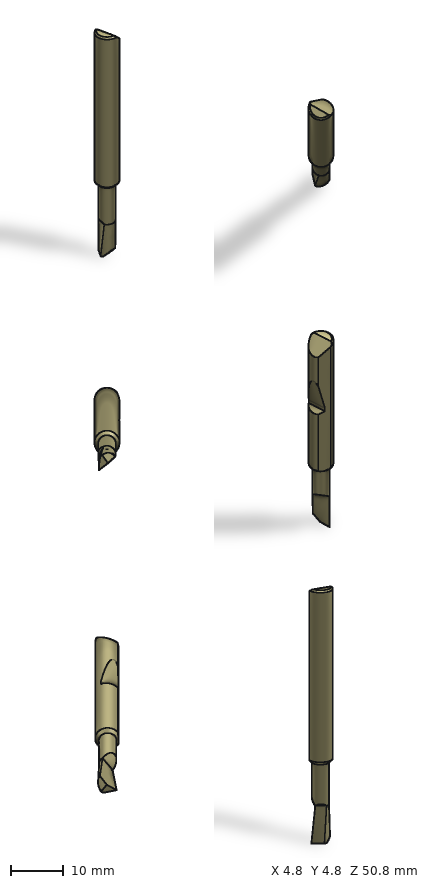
import cadquery as cq
import math

LENGTH = 50.8
SHANK_RADIUS = 2.4
NECK_RADIUS = 1.7
SHANK_BOTTOM = 16.65
TOP_CHAMFER = 0.35
TIP_TOP = 7.6

FLAT_DISTANCE = 2.05
FLAT_ANGLE = 145.0

TOP_CUT_START_Y = -0.5

NOTCH_FLOOR_Y = 1.1
NOTCH_TOP = 41.15
NOTCH_FLOOR_TOP = 33.65
NOTCH_FLOOR_BOTTOM = 32.75
NOTCH_BOTTOM = 32.25

TIP_UPPER = [(-1.5, -0.7), (0.45, -1.65), (1.5, 0.7)]
TIP_LOWER = [(-2.0, 0.0), (-0.2, -1.95), (1.9, 0.05)]
TIP_LOWER_RADIUS = math.hypot(*TIP_LOWER[1])
TIP_ARC_ANGLE = -30.0

END_RISE_X = 0.08
END_FALL_Y = 0.05
BEVEL_START_X = 0.1
BEVEL_START_Z = 0.05

FACE_ANGLE = 114.5
BACK_RUNOUT_SLOPE = 1.1
FRONT_RUNOUT_DISTANCE = 1.25
FRONT_RUNOUT_SLOPE = 1.2

OVERSIZE = 5.1


def make_bar():
    """Turned neck and shank joined by a 45 degree cone."""
    cone_bottom = SHANK_BOTTOM - (SHANK_RADIUS - NECK_RADIUS)
    profile = [
        (0, TIP_TOP),
        (NECK_RADIUS, TIP_TOP),
        (NECK_RADIUS, cone_bottom),
        (SHANK_RADIUS, SHANK_BOTTOM),
        (SHANK_RADIUS, LENGTH - TOP_CHAMFER),
        (SHANK_RADIUS - TOP_CHAMFER, LENGTH),
        (0, LENGTH),
    ]
    return cq.Workplane("XZ").polyline(profile).close().revolve(360, (0, 0), (0, 1))


def prism_across_x(points):
    """Cutting prism along X from (y, z) points."""
    return cq.Workplane("YZ").polyline(points).close().extrude(OVERSIZE, both=True)


def make_side_flat():
    block = cq.Workplane("XY").box(OVERSIZE, 2 * OVERSIZE, LENGTH, centered=(False, True, False))
    return block.translate((FLAT_DISTANCE, 0, 0)).rotate((0, 0, 0), (0, 0, 1), FLAT_ANGLE)


def make_top_cut():
    end_y = TOP_CUT_START_Y + OVERSIZE
    return prism_across_x([(TOP_CUT_START_Y, LENGTH), (end_y, LENGTH), (end_y, LENGTH - OVERSIZE)])


def make_notch():
    return prism_across_x([
        (SHANK_RADIUS, NOTCH_TOP),
        (NOTCH_FLOOR_Y, NOTCH_FLOOR_TOP),
        (NOTCH_FLOOR_Y, NOTCH_FLOOR_BOTTOM),
        (SHANK_RADIUS, NOTCH_BOTTOM),
    ])


def make_runout(angle, distance, slope):
    """Wedge that rises outward from a tip face, its normal at the given angle."""
    direction = math.radians(angle)
    outward = cq.Vector(math.cos(direction), math.sin(direction), 0)
    plane = cq.Plane((0, 0, TIP_TOP), outward, outward.cross(cq.Vector(0, 0, 1)))
    wedge = [(distance, 0), (distance + OVERSIZE, 0), (distance + OVERSIZE, OVERSIZE * slope)]
    return cq.Workplane(plane).polyline(wedge).close().extrude(OVERSIZE, both=True)


def tip_section(workplane, corners, radius):
    """Triangle-like section with its outer side rounded about the bar axis."""
    cutting, front, back = corners
    middle_angle = math.radians(TIP_ARC_ANGLE)
    middle = (radius * math.cos(middle_angle), radius * math.sin(middle_angle))
    return workplane.moveTo(*cutting).lineTo(*front).threePointArc(middle, back).close()


def make_tip():
    """Twisted tip that widens downward, with a sloping end and a bevelled corner."""
    lower = tip_section(cq.Workplane("XY"), TIP_LOWER, TIP_LOWER_RADIUS)
    upper = tip_section(lower.workplane(offset=TIP_TOP), TIP_UPPER, NECK_RADIUS)
    tip = upper.loft(ruled=True, combine=True)
    end_plane = cq.Plane(
        (TIP_LOWER[0][0], 0, 0), (1, 0, END_RISE_X), (-END_RISE_X, END_FALL_Y, 1)
    )
    end_cut = cq.Workplane(end_plane).rect(4 * OVERSIZE, 4 * OVERSIZE).extrude(-OVERSIZE)
    bevel_end = (BEVEL_START_X + OVERSIZE, BEVEL_START_Z + OVERSIZE)
    bevel = (
        cq.Workplane("XZ")
        .polyline([(BEVEL_START_X, BEVEL_START_Z), bevel_end, (bevel_end[0], BEVEL_START_Z)])
        .close()
        .extrude(OVERSIZE, both=True)
    )
    return tip.cut(end_cut).cut(bevel)


bar = make_bar().cut(make_side_flat()).cut(make_top_cut()).cut(make_notch())
bar = bar.cut(make_runout(FACE_ANGLE, 0, BACK_RUNOUT_SLOPE))
bar = bar.cut(make_runout(-FACE_ANGLE, FRONT_RUNOUT_DISTANCE, FRONT_RUNOUT_SLOPE))
result = bar.union(make_tip())